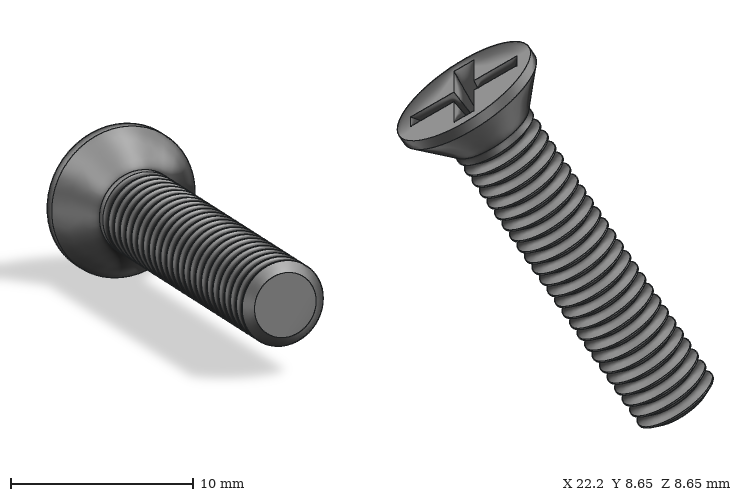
import cadquery as cq
import math

total_length = 22.23
head_diameter = 8.65
head_rim_length = 0.62
head_length = 2.82

thread_diameter = 4.9
thread_count = 24
first_root = 3.62
pitch = (total_length - first_root) / thread_count
crest_flat = pitch / 8
flank_half_angle = 30.0

recess_span = 6.91
recess_width = 1.3
recess_tip = 0.6
recess_depth = 4.0

head_radius = head_diameter / 2
crest_radius = thread_diameter / 2
flank_length = (pitch - crest_flat) / 2
root_radius = crest_radius - flank_length / math.tan(math.radians(flank_half_angle))


def screw_body():
    """Countersunk head, short plain neck and ringed shank, revolved about X."""
    outline = [
        (0, 0),
        (0, head_radius),
        (head_rim_length, head_radius),
        (head_length, crest_radius),
        (first_root - flank_length, crest_radius),
        (first_root, root_radius),
    ]
    for ring in range(thread_count):
        ring_start = first_root + ring * pitch
        outline += [
            (ring_start + flank_length, crest_radius),
            (ring_start + flank_length + crest_flat, crest_radius),
            (ring_start + pitch, root_radius),
        ]
    outline.append((total_length, 0))
    return cq.Workplane("XY").polyline(outline).close().revolve(360, (0, 0, 0), (1, 0, 0))


def recess_slot(size_y, size_z):
    """Slot that tapers from a rectangle on the head face to a small square tip."""
    return (
        cq.Workplane("YZ")
        .rect(size_y, size_z)
        .workplane(offset=recess_depth)
        .rect(recess_tip, recess_tip)
        .loft(ruled=True)
    )


result = (
    screw_body()
    .cut(recess_slot(recess_span, recess_width))
    .cut(recess_slot(recess_width, recess_span))
)